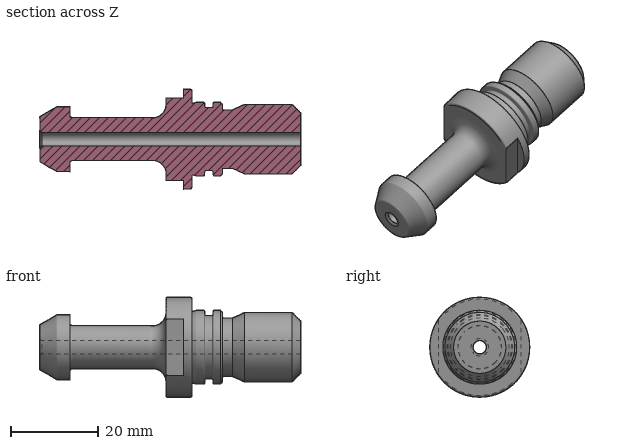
import cadquery as cq
import math

knob_end = 7.0
flange_start = 29.0
flange_end = 35.0
flat_end = 33.0
front_collar_start = 36.0
groove_start = 37.9
groove_width = 1.95
groove_end = groove_start + groove_width
collar_end = 42.0
neck_end = 44.3
thread_start = 47.0
total_length = 60.0

knob_radius = 15.0 / 2
shank_radius = 10.0 / 2
root_radius = 9.9 / 2
flange_radius = 23.0 / 2
relief_radius = 16.6 / 2
collar_radius = 17.0 / 2
groove_radius = 14.6 / 2
neck_radius = 13.5 / 2
thread_radius = 16.0 / 2
bore_radius = 3.0 / 2

cone_length = 4.0
cone_angle = math.radians(30)
tip_radius = knob_radius - cone_length * math.tan(cone_angle)
knob_edge_round = 0.5
knob_root_round = 0.5

root_round = 3.0
root_step_length = 0.3
root_step_start = 25.5

flange_edge_round = 0.4
flange_corner_round = 0.2
groove_edge_round = 0.3
groove_corner_round = 0.15
collar_chamfer = 0.5
neck_corner_round = 0.3
thread_chamfer = 2.0
bore_chamfer = 0.5

relief_angle = math.radians(15)
relief_cone_start = front_collar_start - (collar_radius - relief_radius) / math.tan(relief_angle)

groove_wall_angle = math.radians(5)
groove_wall_run = (collar_radius - groove_radius) * math.tan(groove_wall_angle)

across_flats = 19.0


def rounded_outline(corners):
    """Closed outline in the XY plane through (x, radius, round) corners; a round of 0 is sharp."""
    outline = cq.Workplane("XY").moveTo(*corners[0][:2])
    neighbours = zip(corners, corners[1:], corners[2:] + corners[:1])
    for before, corner, after in neighbours:
        point = cq.Vector(*corner[:2])
        round_radius = corner[2]
        if round_radius == 0:
            outline = outline.lineTo(point.x, point.y)
            continue
        to_before = (cq.Vector(*before[:2]) - point).normalized()
        to_after = (cq.Vector(*after[:2]) - point).normalized()
        half_angle = to_before.getAngle(to_after) / 2
        tangent_length = round_radius / math.tan(half_angle)
        middle_distance = round_radius / math.sin(half_angle) - round_radius
        arc_start = point + to_before * tangent_length
        arc_middle = point + (to_before + to_after).normalized() * middle_distance
        arc_end = point + to_after * tangent_length
        outline = outline.lineTo(arc_start.x, arc_start.y)
        outline = outline.threePointArc(arc_middle.toTuple()[:2], arc_end.toTuple()[:2])
    return outline.close()


def turned_body():
    knob_and_shank = [
        (0, tip_radius, knob_edge_round),
        (cone_length, knob_radius, knob_edge_round),
        (knob_end, knob_radius, 0),
        (knob_end, shank_radius, knob_root_round),
        (root_step_start, shank_radius, 0),
        (root_step_start + root_step_length, root_radius, 0),
        (flange_start, root_radius, root_round),
    ]
    flange = [
        (flange_start, flange_radius, flange_edge_round),
        (flange_end, flange_radius, flange_edge_round),
        (flange_end, relief_radius, flange_corner_round),
    ]
    collars = [
        (relief_cone_start, relief_radius, 0),
        (front_collar_start, collar_radius, 0),
        (groove_start, collar_radius, groove_edge_round),
        (groove_start + groove_wall_run, groove_radius, groove_corner_round),
        (groove_end - groove_wall_run, groove_radius, groove_corner_round),
        (groove_end, collar_radius, groove_edge_round),
        (collar_end - collar_chamfer, collar_radius, 0),
        (collar_end, collar_radius - collar_chamfer, 0),
    ]
    thread_end = [
        (collar_end, neck_radius, neck_corner_round),
        (neck_end, neck_radius, 0),
        (thread_start, thread_radius, 0),
        (total_length - thread_chamfer, thread_radius, 0),
        (total_length, thread_radius - thread_chamfer, 0),
    ]
    axis_start = [(0, 0, 0)]
    axis_end = [(total_length, 0, 0)]
    corners = axis_start + knob_and_shank + flange + collars + thread_end + axis_end
    return rounded_outline(corners).revolve(360, (0, 0, 0), (1, 0, 0))


def coolant_bore():
    """Through bore, countersunk at the knob face."""
    mouth_radius = bore_radius + bore_chamfer
    profile = (
        cq.Workplane("XY")
        .lineTo(0, mouth_radius)
        .lineTo(bore_chamfer, bore_radius)
        .lineTo(total_length, bore_radius)
        .lineTo(total_length, 0)
        .close()
    )
    return profile.revolve(360, (0, 0, 0), (1, 0, 0))


def flat_cutter(side):
    """Block that cuts the wrench flat on the +Y (side = 1) or -Y (side = -1) side of the flange."""
    depth = flange_radius - across_flats / 2
    center_y = side * (across_flats / 2 + depth / 2)
    length = flat_end - flange_start
    center_x = flange_start + length / 2
    return cq.Workplane("XY").box(length, depth, 2 * flange_radius).translate((center_x, center_y, 0))


result = turned_body().cut(coolant_bore())
for side in (1, -1):
    result = result.cut(flat_cutter(side))